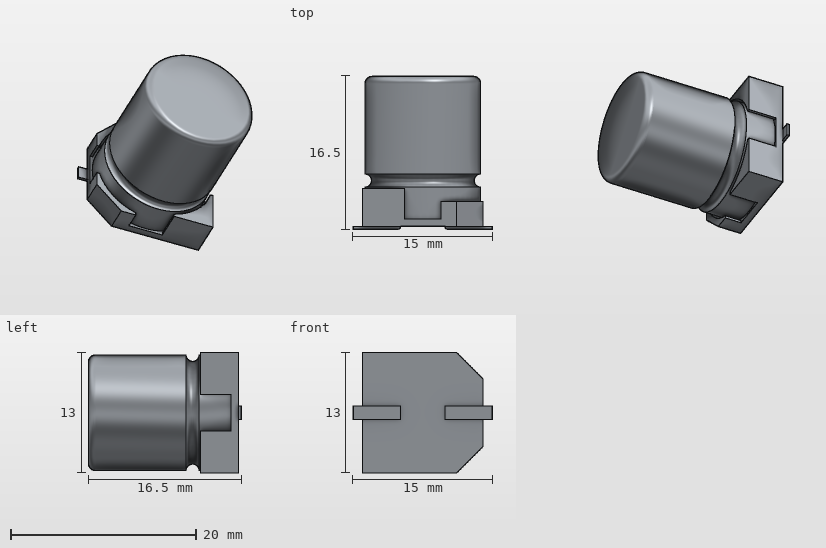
import cadquery as cq

can_radius = 6.25
can_end_fillet = 0.8
groove_radius = 0.7
groove_center_y = 4.95

base_width = 13.0
base_chamfer = 2.85
floor_thickness = 0.8
tall_wall_y = 4.1
low_wall_y = 2.7
notch_width = 3.9
seat_clearance = 0.25

lead_thickness = 0.3
lead_width = 1.5
lead_span = 15.0
lead_gap = 4.8
lead_end_fillet = 0.25

overall_length = 16.5
can_end_y = overall_length - lead_thickness


def block(x_min, x_max, y_min, y_max, width_z):
    """Box between the given X and Y limits, centred on Z = 0."""
    size_x = x_max - x_min
    size_y = y_max - y_min
    return cq.Workplane("XY").box(size_x, size_y, width_z).translate(
        ((x_min + x_max) / 2, (y_min + y_max) / 2, 0)
    )


def make_can():
    """Can standing on the base floor, with a half-round groove near its lower end."""
    body = (
        cq.Workplane("XZ", origin=(0, floor_thickness, 0))
        .circle(can_radius)
        .extrude(-(can_end_y - floor_thickness))
        .faces(">Y")
        .edges()
        .fillet(can_end_fillet)
    )
    groove = (
        cq.Workplane("XY")
        .center(can_radius, groove_center_y)
        .circle(groove_radius)
        .revolve(360, (-can_radius, 0), (-can_radius, 1))
    )
    return body.cut(groove)


def make_base():
    """Base with a round, loose seat for the can, lower walls at +X and a notch in each side."""
    half_width = base_width / 2
    half_notch = notch_width / 2
    base = block(-half_width, half_width, 0, tall_wall_y, base_width)
    base = base.edges("|Y and >X").chamfer(base_chamfer)

    seat = (
        cq.Workplane("XZ", origin=(0, floor_thickness, 0))
        .circle(can_radius + seat_clearance)
        .extrude(-tall_wall_y)
    )
    low_side = block(half_notch, half_width, low_wall_y, tall_wall_y, base_width)
    notch_along_z = block(-half_notch, half_notch, floor_thickness, tall_wall_y, base_width)
    notch_along_x = block(-half_width, half_width, floor_thickness, tall_wall_y, notch_width)
    return base.cut(seat).cut(low_side).cut(notch_along_z).cut(notch_along_x)


def make_lead(side):
    """Flat lead on the -X (side = -1) or +X (side = 1) half, rounded at its inner end."""
    lead = block(lead_gap / 2, lead_span / 2, -lead_thickness, 0, lead_width)
    lead = lead.edges("|Z and <X and <Y").fillet(lead_end_fillet)
    return lead if side > 0 else lead.mirror("YZ")


can = make_can()
base = make_base()
leads = [make_lead(side) for side in (-1, 1)]

result = cq.Compound.makeCompound([can.val(), base.val(), *[lead.val() for lead in leads]])